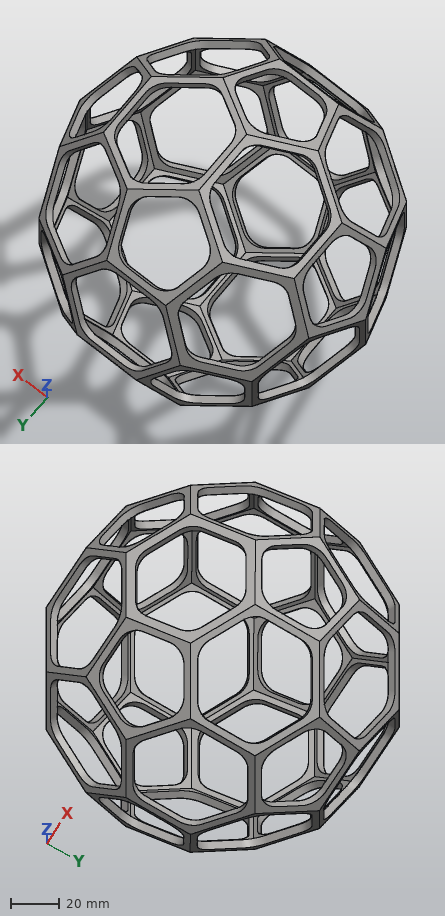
import cadquery as cq
import math

outer_size = 152.9
wall = 3.5
rim_width = 3.0
wide_rim_width = 4.0
corner_radius = 10.0
wide_rim_direction = cq.Vector(-1, 1, 1).normalized()

golden = (1 + math.sqrt(5)) / 2
edge = outer_size / (3 * golden)
vertex_radius = edge / 2 * math.sqrt(9 * golden + 10)
hexagon_sides = 6
pentagon_sides = 5
parallel_tolerance = 0.001


def facet_apothem(sides):
    """Distance from the middle of a facet to its edges."""
    return edge / (2 * math.tan(math.pi / sides))


def facet_distance(sides):
    """Distance from the centre of the ball to a facet."""
    facet_circumradius = edge / (2 * math.sin(math.pi / sides))
    return math.sqrt(vertex_radius**2 - facet_circumradius**2)


def directions(a, b, c):
    """Unit vectors for every sign choice and cyclic order of a coordinate triple."""
    signed_triples = {
        (sign_x * x, sign_y * y, sign_z * z)
        for x, y, z in ((a, b, c), (b, c, a), (c, a, b))
        for sign_x in (1, -1)
        for sign_y in (1, -1)
        for sign_z in (1, -1)
    }
    return [cq.Vector(*triple).normalized() for triple in sorted(signed_triples)]


pentagon_normals = directions(0, 1, golden)
hexagon_normals = directions(1, 1, 1) + directions(1 / golden, 0, golden)
facets = [(normal, pentagon_sides) for normal in pentagon_normals]
facets += [(normal, hexagon_sides) for normal in hexagon_normals]


def facet_plane(normal, sides, inset=0):
    """Plane on a facet, or below it by inset, with X through the middle of one facet edge."""
    other_hexagons = [other for other in hexagon_normals if other != normal]
    neighbour = max(other_hexagons, key=normal.dot)
    toward_edge = neighbour - normal * neighbour.dot(normal)
    origin = normal * (facet_distance(sides) - inset)
    return cq.Plane(origin=origin, xDir=toward_edge, normal=normal)


def ball(inset):
    """Solid truncated icosahedron with every facet moved inward by inset."""
    solid = cq.Workplane("XY").box(outer_size, outer_size, outer_size)
    for normal, sides in facets:
        plane = facet_plane(normal, sides, inset)
        outside = cq.Workplane(plane).rect(2 * outer_size, 2 * outer_size).extrude(outer_size)
        solid = solid.cut(outside)
    return solid


def facet_rim(normal):
    """Rim width of a facet, wider on the two facets square to the wide rim direction."""
    if normal.cross(wide_rim_direction).Length < parallel_tolerance:
        return wide_rim_width
    return rim_width


def window(normal, sides):
    """Rounded polygon cutter reaching right through the struts of one facet."""
    half_angle = math.pi / sides
    window_diameter = 2 * (facet_apothem(sides) - facet_rim(normal)) / math.cos(half_angle)
    return (
        cq.Workplane(facet_plane(normal, sides))
        .transformed(rotate=(0, 0, math.degrees(half_angle)))
        .polygon(sides, window_diameter)
        .extrude(2 * wall, both=True)
        .edges(cq.selectors.ParallelDirSelector(normal))
        .fillet(corner_radius)
    )


frame = ball(0).cut(ball(wall))
for normal, sides in facets:
    frame = frame.cut(window(normal, sides))
result = frame.solids()